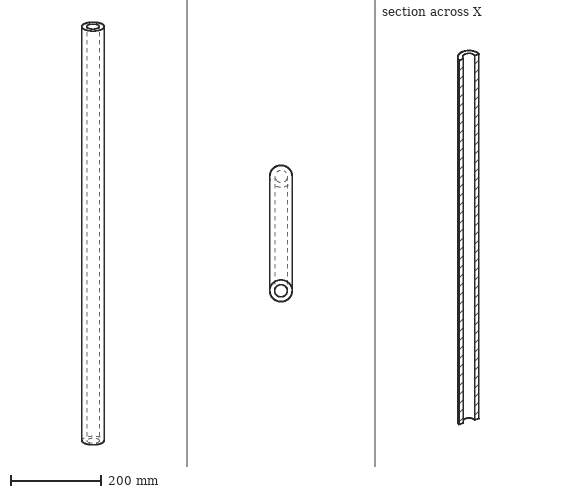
import cadquery as cq

length = 1000.0
outer_diameter = 50.0
bore_diameter = 28.0

result = (
    cq.Workplane("XY")
    .circle(outer_diameter / 2)
    .circle(bore_diameter / 2)
    .extrude(length)
)